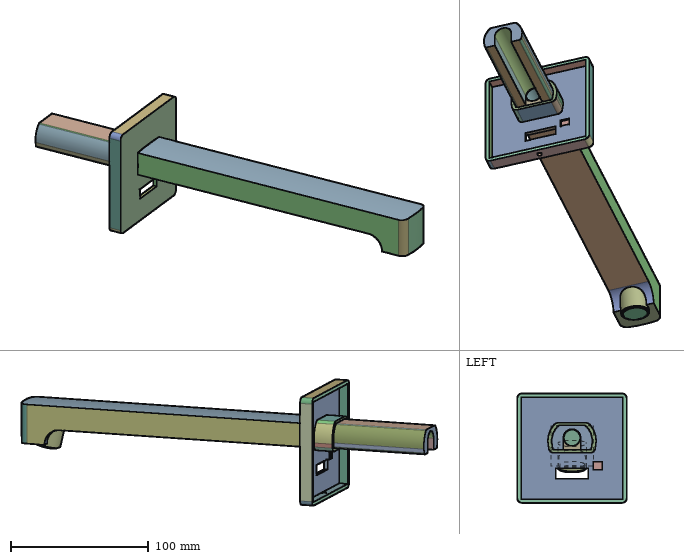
import cadquery as cq
import math

TOTAL_LENGTH = 313.5
COLLAR_BACK = 70.0
PLATE_BACK = 77.5
PLATE_FRONT = 86.8

PLATE_SIDE = 80.0
PLATE_CORNER_RADIUS = 3.8
RIM_WIDTH = 2.8
CUP_DEPTH = 6.5
WINDOW_WIDTH = 23.5
WINDOW_HEIGHT = 7.5
WINDOW_Z = -18.5
POCKET_WIDTH = 6.5
POCKET_HEIGHT = 5.5
POCKET_DEPTH = 1.3
POCKET_Y = -18.8
POCKET_Z = -13.0
DRAIN_DIAMETER = 3.0
DRAIN_FROM_FLOOR = 1.5

ARM_WIDTH = 31.0
ARM_BOTTOM = -1.3
ARM_TOP = 17.0
ARM_CROWN = 0.5
TIP_BULGE = 1.5
TIP_CORNER_RADIUS = 5.5
NOSE_BOTTOM = -13.0
NOSE_START = 293.5

ROUND_AXIS_Z = 5.3
SIDE_SWEEP_BELOW_AXIS = 8.0

SHANK_RADIUS = 14.7
SHANK_TOP = 16.5
SHANK_BOTTOM = ARM_BOTTOM
SHANK_TOP_FILLET = 1.5
SHANK_BOTTOM_FILLET = 2.0
SLOT_WIDTH = 12.5
BORE_RADIUS = 6.0
BORE_Z = 7.5

COLLAR_RADIUS = 17.5
COLLAR_TOP = 18.5
COLLAR_BOTTOM = -3.5
COLLAR_TOP_FILLET = 4.7
COLLAR_BOTTOM_FILLET = 3.8

AERATOR_TILT = 13.0
AERATOR_RADIUS = 10.5
AERATOR_LENGTH = 18.8
AERATOR_FACE_X = 297.2
AERATOR_FACE_Z = -14.7
INSERT_RADIUS = 9.0
INSERT_PROJECTION = 1.0
INSERT_DEPTH = 3.0


def x_block(x_start, x_end, width, height, y=0.0, z=0.0):
    """A block between two X positions, centred on y and z."""
    return cq.Workplane("YZ", origin=(x_start, y, z)).rect(width, height).extrude(x_end - x_start)


def flat_sided_bar(x_start, x_end, radius, bottom, top, bottom_fillet, top_fillet):
    """A bar along X: flat top, round sides, then straight tangent sides to a flat bottom."""
    sweep = math.radians(SIDE_SWEEP_BELOW_AXIS)
    rise = top - ROUND_AXIS_Z
    top_half = math.sqrt(radius**2 - rise**2)
    side_y = radius * math.cos(sweep)
    side_z = ROUND_AXIS_Z - radius * math.sin(sweep)
    bottom_half = side_y - (side_z - bottom) * math.tan(sweep)
    bar = (
        cq.Workplane("YZ", origin=(x_start, 0, 0))
        .moveTo(-bottom_half, bottom)
        .lineTo(bottom_half, bottom)
        .lineTo(side_y, side_z)
        .threePointArc((radius, ROUND_AXIS_Z), (top_half, top))
        .lineTo(-top_half, top)
        .threePointArc((-radius, ROUND_AXIS_Z), (-side_y, side_z))
        .close()
        .extrude(x_end - x_start)
    )
    return bar.edges("|X and >Z").fillet(top_fillet).edges("|X and <Z").fillet(bottom_fillet)


def shank_blank():
    """The shank before its slot and bore are cut."""
    return flat_sided_bar(
        0, PLATE_FRONT, SHANK_RADIUS, SHANK_BOTTOM, SHANK_TOP, SHANK_BOTTOM_FILLET, SHANK_TOP_FILLET
    )


def make_shank():
    bore = cq.Workplane("YZ", origin=(0, 0, BORE_Z)).circle(BORE_RADIUS).extrude(PLATE_FRONT)
    slot_arch = cq.Workplane("YZ", origin=(0, 0, BORE_Z)).circle(SLOT_WIDTH / 2).extrude(COLLAR_BACK)
    slot_height = BORE_Z - SHANK_BOTTOM
    slot = x_block(0, COLLAR_BACK, SLOT_WIDTH, slot_height, z=BORE_Z - slot_height / 2)
    return shank_blank().cut(bore).cut(slot_arch).cut(slot)


def make_collar():
    collar = flat_sided_bar(
        COLLAR_BACK, PLATE_BACK + CUP_DEPTH, COLLAR_RADIUS, COLLAR_BOTTOM, COLLAR_TOP,
        COLLAR_BOTTOM_FILLET, COLLAR_TOP_FILLET,
    )
    return collar.cut(shank_blank())


def make_plate():
    plate = x_block(PLATE_BACK, PLATE_FRONT, PLATE_SIDE, PLATE_SIDE)
    plate = plate.edges("|X").fillet(PLATE_CORNER_RADIUS)
    floor_x = PLATE_BACK + CUP_DEPTH
    cup_side = PLATE_SIDE - 2 * RIM_WIDTH
    plate = plate.cut(x_block(PLATE_BACK, floor_x, cup_side, cup_side))
    plate = plate.cut(x_block(floor_x, PLATE_FRONT, WINDOW_WIDTH, WINDOW_HEIGHT, z=WINDOW_Z))
    pocket = x_block(floor_x, floor_x + POCKET_DEPTH, POCKET_WIDTH, POCKET_HEIGHT, POCKET_Y, POCKET_Z)
    drain = (
        cq.Workplane("XY", origin=(floor_x - DRAIN_FROM_FLOOR, 0, -PLATE_SIDE / 2))
        .circle(DRAIN_DIAMETER / 2)
        .extrude(RIM_WIDTH)
    )
    return plate.cut(pocket).cut(drain).cut(shank_blank())


def aerator_cylinder(radius, start, length):
    """A cylinder on the aerator's axis, from `start` above the outlet face upwards."""
    tilt = math.radians(AERATOR_TILT)
    upward = cq.Vector(-math.sin(tilt), 0, math.cos(tilt))
    base = cq.Vector(AERATOR_FACE_X, 0, AERATOR_FACE_Z) + upward * start
    return cq.Workplane(cq.Solid.makeCylinder(radius, length, base, upward))


def make_insert():
    return aerator_cylinder(INSERT_RADIUS, -INSERT_PROJECTION, INSERT_PROJECTION + INSERT_DEPTH)


def make_aerator():
    return aerator_cylinder(AERATOR_RADIUS, 0, AERATOR_LENGTH).cut(make_insert())


def make_arm():
    half = ARM_WIDTH / 2
    nose_radius = ARM_BOTTOM - NOSE_BOTTOM
    diagonal = nose_radius * math.sqrt(0.5)
    arc_x = NOSE_START - nose_radius
    side = (
        cq.Workplane("XZ", origin=(0, half, 0))
        .moveTo(PLATE_FRONT, ARM_TOP)
        .lineTo(PLATE_FRONT, ARM_BOTTOM)
        .lineTo(arc_x, ARM_BOTTOM)
        .threePointArc((arc_x + diagonal, NOSE_BOTTOM + diagonal), (NOSE_START, NOSE_BOTTOM))
        .lineTo(TOTAL_LENGTH, NOSE_BOTTOM)
        .lineTo(TOTAL_LENGTH, ARM_TOP)
        .close()
        .extrude(ARM_WIDTH)
    )
    tip_x = TOTAL_LENGTH - TIP_BULGE
    plan = (
        cq.Workplane("XY", origin=(0, 0, NOSE_BOTTOM))
        .moveTo(PLATE_FRONT, -half)
        .lineTo(tip_x, -half)
        .threePointArc((TOTAL_LENGTH, 0), (tip_x, half))
        .lineTo(PLATE_FRONT, half)
        .close()
        .extrude(ARM_TOP - NOSE_BOTTOM)
        .edges("|Z")
        .edges(">X")
        .fillet(TIP_CORNER_RADIUS)
    )
    section = (
        cq.Workplane("YZ", origin=(PLATE_FRONT, 0, 0))
        .moveTo(-half, NOSE_BOTTOM)
        .lineTo(half, NOSE_BOTTOM)
        .lineTo(half, ARM_TOP - ARM_CROWN)
        .threePointArc((0, ARM_TOP), (-half, ARM_TOP - ARM_CROWN))
        .close()
        .extrude(TOTAL_LENGTH - PLATE_FRONT)
    )
    return side.intersect(plan).intersect(section).cut(make_aerator()).cut(make_insert())


shank = make_shank()
collar = make_collar()
plate = make_plate()
arm = make_arm()
aerator = make_aerator()
insert = make_insert()

result = cq.Compound.makeCompound(
    [shank.val(), collar.val(), plate.val(), arm.val(), aerator.val(), insert.val()]
)